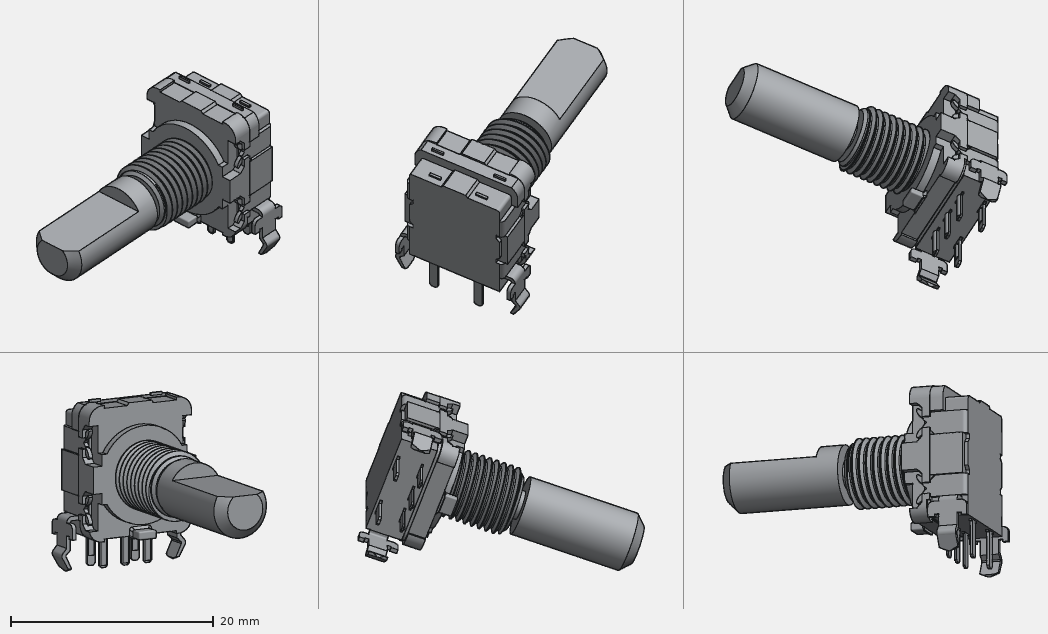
import cadquery as cq
import math


shaft_radius = 3.0
shaft_tip_y = -19.95
shaft_shoulder_y = -7.65
shaft_tip_chamfer = 1.0
flat_height = 1.48
flat_start_y = -10.02
neck_radius = 1.48
bushing_end_y = -7.02
bushing_chamfer = 0.32
thread_root_radius = 3.08
thread_crest_radius = 3.5
thread_pitch = 6.75 / 9
thread_root_width = 0.6
thread_crest_width = 0.095
thread_turns = 10.5
thread_start_y = 0.78
thread_overlap = 0.08
thread_end_y = -6.53

plate_half_width = 5.83
plate_top = 7.25
plate_bottom = -6.48
plate_corner_radius = 1.45
plate_front_y = 0.85
plate_back_y = 2.97
boss_radius = 5.0
boss_band_half_height = 2.55
top_recess_floor = 7.0
bottom_recess_floor = -6.2
recess_outer_x = 4.1
pad_half_width = 1.27
pad_slope = 0.25

window_z = 3.35
window_half_height = 1.97
window_floor_x = 4.83
window_depth_y = 2.15
window_corner = 0.57
slot_half_height = 0.57
horn_outer_x = 5.5
horn_inner_x = 5.08
split_half_height = 0.32
split_end_y = 2.5
horn_root_low = 0.43
horn_root_high = 1.13
horn_curve = (1.67, 0.85)
horn_tip_front = (1.45, 1.35)
horn_tip_back = (1.62, 1.5)

housing_back_y = 6.75
core_half_width = 5.1
core_top = 5.9
core_pad_top = 6.18
core_corner_radius = 0.35
layer_back_y = 4.35
layer_half_width = 5.8
layer_top = 7.05
layer_side_bottom = 4.45
panel_half_width = 5.5
panel_top = 4.37
panel_bottom = -4.2
panel_edge_radius = 0.45
rib_half_height = 2.05
rib_back_y = 6.37
rib_flare = 0.45
rib_flare_half_width = 5.67
lug_base_half_height = 1.6
lug_face_half_height = 1.2
lug_depth = 0.4
plate_relief_y = 2.65
plate_relief_top = -4.54
plate_relief_bottom = -6.08
plate_relief_radius = 1.22

bar_length = 1.27
core_bar = (2.62, 5.9, 0.27, 6.1)
layer_bar = (3.5, 3.83, 0.2, 7.32)

tab_half_width = 1.0
tab_top = -5.55
tab_bottom = -6.4
tab_tip_y = -0.7
tab_edge_radius = 0.15
tab_root_flare = 0.27
tab_root_chamfer = 0.2

pin_spacing = 2.5
pin_half_width = 0.45
pin_rib_half_width = 0.32
pin_root_z = -5.4
pin_taper = 0.25
pin_foot_half_width = 0.75
pin_foot_bottom = -6.37
front_pin_y = (3.75, 3.95)
front_rib_y = 3.6
front_pin_tip_z = -9.77
front_rib_z = (front_pin_tip_z + pin_taper, pin_root_z)
rear_pin_y = (6.2, 6.48)
rear_rib_y = 6.08
rear_pin_tip_z = -10.0
rear_rib_z = (-8.96, -6.8)

clip_thickness = 0.43
clip_outer_x = 6.5
clip_bend_radius = 0.62
clip_leg_end_z = -7.48
clip_leg_inner_end_z = -7.72
clip_knee_x = 7.05
clip_knee_z = -8.25
clip_knee_half_height = 0.3
clip_knee_depth = 0.1
clip_knee_inner_x = 6.55
clip_knee_inner_half_height = 0.08
clip_tip_x = 6.1
clip_tip_inner_x = 5.85
clip_tip_inner_z = -9.77
clip_center_y = 5.1
clip_leg_half_width = 0.97
clip_plate_back_y = 7.05
clip_plate_length = 4.05
clip_strip_top = -4.32
clip_plate_top = clip_strip_top - clip_bend_radius
clip_plate_bottom = -6.48
clip_plate_corner_radius = 0.55
clip_relief_width = 0.4
clip_relief_height = 0.25
clip_tip_z = -10.0
clip_tip_rise = 0.38
clip_point_half_width = 0.1


def block(x_range, y_range, z_range):
    """Box between pairs of coordinates."""
    spans = [high - low for low, high in (x_range, y_range, z_range)]
    low_corner = (x_range[0], y_range[0], z_range[0])
    return cq.Workplane("XY").box(*spans, centered=False).translate(low_corner)


def xz_prism(points, y_range):
    """Prism along Y from an outline of (x, z) points."""
    plane = cq.Workplane("XZ", origin=(0, y_range[0], 0))
    return plane.polyline(points).close().extrude(y_range[0] - y_range[1])


def yz_prism(points, x_range):
    """Prism along X from an outline of (y, z) points."""
    plane = cq.Workplane("YZ", origin=(x_range[0], 0, 0))
    return plane.polyline(points).close().extrude(x_range[1] - x_range[0])


def cylinder(radius, y_front, y_back):
    return cq.Workplane("XZ", origin=(0, y_front, 0)).circle(radius).extrude(y_front - y_back)


def both_sides(solid):
    """The solid together with its mirror image across X = 0."""
    return solid.union(solid.mirror("YZ"))


def top_pad(base_z, top_z, y_range):
    """Raised pad across the middle of the top, with sloped ends."""
    foot = pad_half_width + pad_slope
    outline = [(-foot, base_z), (foot, base_z), (pad_half_width, top_z), (-pad_half_width, top_z)]
    return xz_prism(outline, y_range)


def make_shaft():
    shaft = cylinder(shaft_radius, shaft_tip_y, shaft_shoulder_y)
    shaft = shaft.faces("<Y").chamfer(shaft_tip_chamfer)
    flat = block((-shaft_radius, shaft_radius), (shaft_tip_y, flat_start_y), (flat_height, shaft_radius))
    neck = cylinder(neck_radius, shaft_shoulder_y, bushing_end_y)
    return shaft.cut(flat).union(neck)


def make_thread():
    """Helical ridge, right-handed, wound along Z and then turned onto the Y axis."""
    flank_slope = (thread_root_width - thread_crest_width) / (thread_crest_radius - thread_root_radius) / 2
    foot_radius = thread_root_radius - thread_overlap
    foot = thread_root_width / 2 + flank_slope * thread_overlap
    crest = thread_crest_width / 2
    path = cq.Wire.makeHelix(thread_pitch, thread_pitch * thread_turns, thread_root_radius)
    outline = [
        (foot_radius, -foot),
        (thread_crest_radius, -crest),
        (thread_crest_radius, crest),
        (foot_radius, foot),
    ]
    ridge = cq.Workplane("XZ").polyline(outline).close().sweep(cq.Workplane(path), isFrenet=True)
    ridge = ridge.rotate((0, 0, 0), (1, 0, 0), 90).translate((0, thread_start_y, 0))
    runout = cylinder(2 * thread_crest_radius, thread_end_y - 2 * thread_pitch, thread_end_y)
    return ridge.cut(runout)


def make_bushing():
    sleeve = cylinder(thread_root_radius, bushing_end_y, plate_back_y)
    sleeve = sleeve.faces("<Y").chamfer(bushing_chamfer)
    return sleeve.union(make_thread())


def rounded_slab(half_width, y_range):
    """Upright slab with the rounded corners of the face plate."""
    slab = block((-half_width, half_width), y_range, (plate_bottom, plate_top))
    return slab.edges("|Y").fillet(plate_corner_radius)


def make_window():
    """Bevelled window, open to the front, with a slot through its back wall (-X side)."""
    low = window_z - window_half_height
    high = window_z + window_half_height
    bevel_y = window_depth_y - window_corner
    outline = [
        (0, low),
        (bevel_y, low),
        (window_depth_y, low + window_corner),
        (window_depth_y, high - window_corner),
        (bevel_y, high),
        (0, high),
    ]
    window = yz_prism(outline, (-plate_half_width, -window_floor_x))
    slot = block(
        (-plate_half_width, -panel_half_width),
        (window_depth_y, plate_back_y),
        (window_z - slot_half_height, window_z + slot_half_height),
    )
    return window.union(slot)


def make_horns():
    """Staked lug: two horns spread apart by a V-shaped split (-X side)."""
    horn = (
        cq.Workplane("YZ", origin=(-horn_outer_x, 0, window_z))
        .moveTo(window_depth_y, horn_root_low)
        .threePointArc(horn_curve, horn_tip_front)
        .lineTo(*horn_tip_back)
        .lineTo(window_depth_y, horn_root_high)
        .close()
        .extrude(horn_outer_x - horn_inner_x)
    )
    return horn.union(horn.mirror("XY", (0, 0, window_z)))


def make_split():
    """V-shaped split at the root of the horns (-X side)."""
    outline = [
        (window_depth_y, window_z - split_half_height),
        (window_depth_y, window_z + split_half_height),
        (split_end_y, window_z),
    ]
    return yz_prism(outline, (-horn_outer_x, -horn_inner_x))


def make_plate():
    plate = rounded_slab(plate_half_width, (plate_front_y, plate_back_y))
    depth = (plate_front_y, plate_back_y)
    plate = plate.cut(block((-recess_outer_x, recess_outer_x), depth, (top_recess_floor, plate_top)))
    plate = plate.cut(block((-recess_outer_x, recess_outer_x), depth, (plate_bottom, bottom_recess_floor)))
    plate = plate.union(top_pad(top_recess_floor, plate_top, depth))

    band = block(
        (-plate_half_width, plate_half_width),
        (0, plate_front_y),
        (-boss_band_half_height, boss_band_half_height),
    )
    plate = plate.union(cylinder(boss_radius, 0, plate_front_y)).union(band)

    relief_depth = (plate_relief_y, plate_back_y)
    relief = block((-plate_half_width, plate_half_width), relief_depth, (plate_bottom, plate_relief_top))
    step = block((-panel_half_width, panel_half_width), relief_depth, (plate_relief_bottom, plate_relief_top))
    step = step.edges("|Y and <Z").fillet(plate_relief_radius)
    plate = plate.cut(relief).union(step)

    window = make_window()
    horns = make_horns()
    split = make_split()
    for feature in (window, window.mirror("XY")):
        plate = plate.cut(both_sides(feature))
    for feature in (horns, horns.mirror("XY")):
        plate = plate.union(both_sides(feature))
    for feature in (split, split.mirror("XY")):
        plate = plate.cut(both_sides(feature))
    return plate


def make_housing():
    depth = (plate_back_y, housing_back_y)
    core = block((-core_half_width, core_half_width), depth, (bottom_recess_floor, core_top))
    core = core.edges("|Y and >Z").fillet(core_corner_radius)
    core = core.union(top_pad(core_top, core_pad_top, depth))

    layer_depth = (plate_back_y, layer_back_y)
    layer = rounded_slab(layer_half_width, layer_depth).intersect(
        block((-layer_half_width, layer_half_width), layer_depth, (layer_side_bottom, layer_top))
    )

    panels = block((-panel_half_width, panel_half_width), depth, (panel_bottom, panel_top))
    panels = panels.edges("|Z and >Y").fillet(panel_edge_radius)

    ribs = block(
        (-layer_half_width, layer_half_width),
        (plate_back_y, rib_back_y),
        (-rib_half_height, rib_half_height),
    )
    flare_half_height = rib_half_height + rib_flare
    flare_end_y = plate_back_y + rib_flare
    flare_outline = [
        (plate_back_y, -flare_half_height),
        (flare_end_y, -rib_half_height),
        (flare_end_y, rib_half_height),
        (plate_back_y, flare_half_height),
    ]
    flares = yz_prism(flare_outline, (-rib_flare_half_width, rib_flare_half_width))

    recess_floor_x = core_half_width - lug_depth
    lug_depth_range = (rib_back_y, housing_back_y)
    recess = block((recess_floor_x, panel_half_width), lug_depth_range, (-rib_half_height, rib_half_height))
    lug_outline = [
        (recess_floor_x, -lug_base_half_height),
        (core_half_width, -lug_face_half_height),
        (core_half_width, lug_face_half_height),
        (recess_floor_x, lug_base_half_height),
    ]
    lug = xz_prism(lug_outline, lug_depth_range)

    housing = core.union(layer).union(panels).cut(both_sides(recess))
    return housing.union(both_sides(lug)).union(ribs).union(flares)


def make_bars(bar, base_z):
    center_x, center_y, width, top_z = bar
    x_range = (center_x - bar_length / 2, center_x + bar_length / 2)
    y_range = (center_y - width / 2, center_y + width / 2)
    return both_sides(block(x_range, y_range, (base_z, top_z)))


def make_tab():
    """Locating tab: a tongue with rounded edges on a flared root."""
    tongue = block((-tab_half_width, tab_half_width), (tab_tip_y, plate_front_y), (tab_bottom, tab_top))
    tongue = tongue.edges("|Y or <Y").fillet(tab_edge_radius)
    flare = (
        cq.Workplane("XZ", origin=(0, plate_front_y, (tab_top + tab_bottom) / 2))
        .rect(2 * (tab_half_width + tab_root_flare), tab_top - tab_bottom + 2 * tab_root_flare)
        .workplane(offset=tab_root_flare)
        .rect(2 * tab_half_width, tab_top - tab_bottom)
        .loft(combine=True)
        .edges("not #Y")
        .chamfer(tab_root_chamfer)
    )
    below = block((-boss_radius, boss_radius), (0, plate_front_y), (2 * plate_bottom, plate_bottom))
    return tongue.union(flare).cut(below)


def make_pin(center_x, y_range, rib_y, rib_z_range, tip_z):
    """Flat terminal with a pointed tip and a raised rib along its front."""
    shoulder_z = tip_z + pin_taper
    outline = [
        (-pin_half_width, pin_root_z),
        (-pin_half_width, shoulder_z),
        (pin_taper - pin_half_width, tip_z),
        (pin_half_width - pin_taper, tip_z),
        (pin_half_width, shoulder_z),
        (pin_half_width, pin_root_z),
    ]
    strip = xz_prism(outline, y_range)
    rib = (
        cq.Workplane("XY", origin=(0, 0, rib_z_range[0]))
        .moveTo(-pin_rib_half_width, y_range[0])
        .threePointArc((0, rib_y), (pin_rib_half_width, y_range[0]))
        .close()
        .extrude(rib_z_range[1] - rib_z_range[0])
    )
    foot = block((-pin_foot_half_width, pin_foot_half_width), y_range, (pin_foot_bottom, pin_root_z))
    return strip.union(rib).union(foot).translate((center_x, 0, 0))


def make_clip():
    """Sheet-metal mounting clip on the -X side."""
    inner_x = clip_outer_x - clip_thickness
    strip_bottom = clip_strip_top - clip_thickness
    inner_bend_radius = clip_bend_radius - clip_thickness
    bend_x = clip_outer_x - clip_bend_radius
    knee_start_x = clip_knee_x - clip_knee_depth

    def bend_middle(radius):
        return (-bend_x - radius * math.sqrt(0.5), clip_plate_top + radius * math.sqrt(0.5))

    profile = (
        cq.Workplane("XZ", origin=(0, clip_center_y + clip_leg_half_width, 0))
        .moveTo(-core_half_width, clip_strip_top)
        .lineTo(-bend_x, clip_strip_top)
        .threePointArc(bend_middle(clip_bend_radius), (-clip_outer_x, clip_plate_top))
        .lineTo(-clip_outer_x, clip_leg_end_z)
        .lineTo(-knee_start_x, clip_knee_z + clip_knee_half_height)
        .threePointArc((-clip_knee_x, clip_knee_z), (-knee_start_x, clip_knee_z - clip_knee_half_height))
        .lineTo(-clip_tip_x, clip_tip_z)
        .lineTo(-clip_tip_inner_x, clip_tip_inner_z)
        .lineTo(-clip_knee_inner_x, clip_knee_z - clip_knee_inner_half_height)
        .lineTo(-clip_knee_inner_x, clip_knee_z + clip_knee_inner_half_height)
        .lineTo(-inner_x, clip_leg_inner_end_z)
        .lineTo(-inner_x, clip_plate_top)
        .threePointArc(bend_middle(inner_bend_radius), (-bend_x, strip_bottom))
        .lineTo(-core_half_width, strip_bottom)
        .close()
    )
    leg = profile.extrude(2 * clip_leg_half_width)

    leg_front = clip_center_y - clip_leg_half_width
    leg_back = clip_center_y + clip_leg_half_width
    leg_outline = [
        (leg_front, clip_strip_top),
        (leg_front, clip_tip_z + clip_tip_rise),
        (clip_center_y - clip_point_half_width, clip_tip_z),
        (clip_center_y + clip_point_half_width, clip_tip_z),
        (leg_back, clip_tip_z + clip_tip_rise),
        (leg_back, clip_strip_top),
    ]
    leg = leg.intersect(yz_prism(leg_outline, (-2 * clip_knee_x, -core_half_width)))

    plate_y = (clip_plate_back_y - clip_plate_length, clip_plate_back_y)
    plate = block((-clip_outer_x, -inner_x), plate_y, (clip_plate_bottom, clip_plate_top))
    plate = plate.edges("|X and >Z").fillet(clip_plate_corner_radius)
    relief_z = (clip_plate_bottom, clip_plate_bottom + clip_relief_height)
    for relief_y in ((leg_front - clip_relief_width, leg_front), (leg_back, leg_back + clip_relief_width)):
        plate = plate.cut(block((-clip_outer_x, -inner_x), relief_y, relief_z))
    return leg.union(plate)


result = (
    make_housing()
    .union(make_plate())
    .union(make_bars(core_bar, core_top))
    .union(make_bars(layer_bar, layer_top))
    .union(make_tab())
    .union(both_sides(make_clip()))
)
for pin_x in (-pin_spacing, pin_spacing):
    result = result.union(make_pin(pin_x, rear_pin_y, rear_rib_y, rear_rib_z, rear_pin_tip_z))
for pin_x in (-pin_spacing, 0, pin_spacing):
    result = result.union(make_pin(pin_x, front_pin_y, front_rib_y, front_rib_z, front_pin_tip_z))
result = result.union(make_bushing()).union(make_shaft())